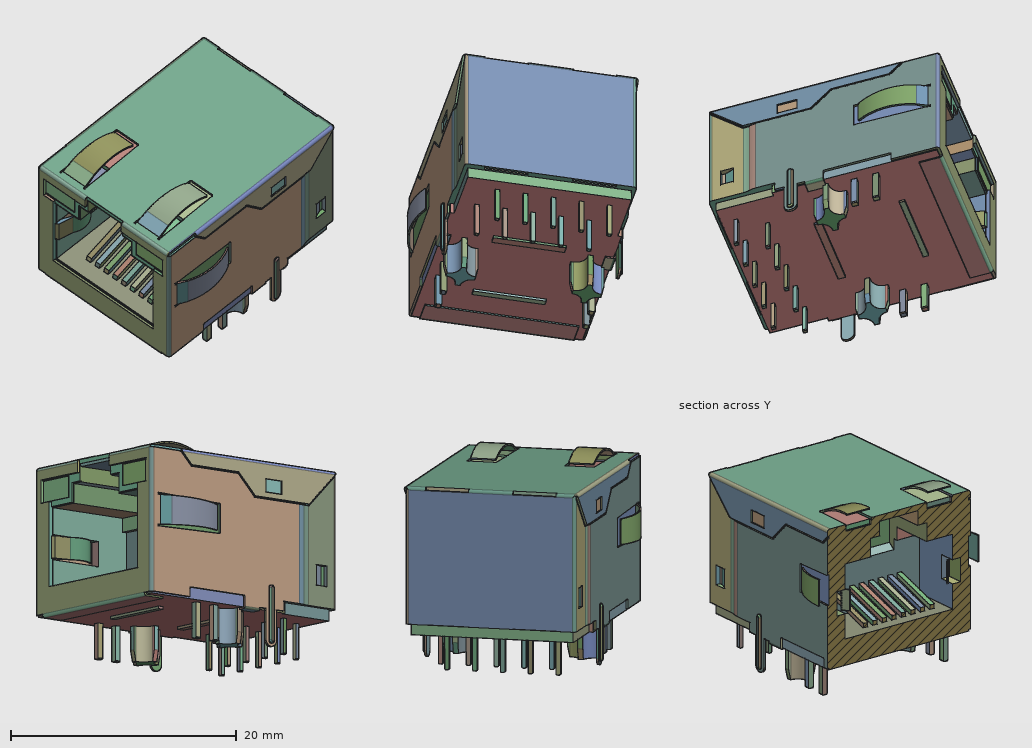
import cadquery as cq
import math


LENGTH = 21.6
HALF_WIDTH = 15.96 / 2
TOP = 13.41
SHEET = 0.2
SHELL_BOTTOM = 0.15
EDGE_RADIUS = 0.3
REAR_SKIRT_BOTTOM = 1.04
REAR_SKIRT_START = 15.35
REAR_SIDE_INSET = 0.17
OVERSHOOT = 0.22

HOUSING_HALF_WIDTH = HALF_WIDTH - SHEET
HOUSING_FRONT = 0.25
HOUSING_REAR = 21.04
HOUSING_JOIN = TOP / 2
HOUSING_FOOT_HALF_WIDTH = 7.43
HOUSING_FOOT_START = 15.65

CAVITY_HALF_WIDTH = 5.96
CAVITY_FLOOR = 2.55
CAVITY_CEILING = 9.63
CAVITY_DEPTH = 8.85
SHELF_HEIGHT = 8.38
SHELF_DEPTH = 8.42
LATCH_HALF_WIDTH = 3.1
LATCH_CEILING = 11.4
LATCH_DEPTH = 9.5
LATCH_RAMP_TOP = 7.86
LATCH_RAMP_BOTTOM = 7.37
NOTCH_HALF_WIDTH = 2.1
NOTCH_CEILING = 12.79
NOTCH_LIP = 13.02
FRAME_GAP = 0.09
MOUTH_DEPTH = 0.13

LIGHT_INNER = 3.72
LIGHT_OUTER = 7.2
LIGHT_BOTTOM = 10.15
LIGHT_TOP = 12.25
LIGHT_SETBACK = 0.06

SPRING_RISE = 0.97
SPRING_PEAK_Y = 4.45
SPRING_HINGE_Y = 1.04
TOP_SPRING_BEND_Y = 2.22
SIDE_SPRING_BEND_Y = 1.97
SPRING_TIP_Y = 7.52
SPRING_TIP_RISE = 0.2
SPRING_SHEET = 0.15
SPRING_DROP = SPRING_RISE - SPRING_TIP_RISE
SPRING_RADIUS = ((SPRING_TIP_Y - SPRING_PEAK_Y) ** 2 + SPRING_DROP**2) / (2 * SPRING_DROP)
SPRING_HINGE_WIDTH = 2.7
SPRING_TIP_WIDTH = 2.31
SLOT_FRONT_Y = 0.82
SLOT_REAR_Y = 8.01
SLOT_FRONT_WIDTH = 3.0
SLOT_REAR_WIDTH = 2.7
SLOT_CORNER = 0.13
TOP_SPRING_X = 4.5
SIDE_SPRING_Z = 7.6
VOID_REAR_Y = 4.21
VOID_DEPTH = 0.65

PIN_TIP = -3.22
PIN_PITCH = 1.27
PIN_COUNT = 10
PIN_ROWS = (19.7, 17.17)
PIN_SIZE = (0.4, 0.35)
LIGHT_PIN_X = 6.72
LIGHT_PIN_ROWS = (8.3, 6.29)
LIGHT_PIN_SIZE = 0.55
PIN_CHAMFER = 0.09


def box(x_range, y_range, z_range):
    """Axis-aligned block between the given limits."""
    size = [high - low for low, high in (x_range, y_range, z_range)]
    corner = (x_range[0], y_range[0], z_range[0])
    return cq.Workplane("XY").box(*size, centered=False).translate(corner)


def both_sides(solid):
    """The solid together with its mirror image across the YZ plane."""
    return solid.union(solid.mirror("YZ"))


def side_prism(points, x_low, x_high):
    """Prism along X with a (Y, Z) outline."""
    return cq.Workplane("YZ").polyline(points).close().extrude(x_high - x_low).translate((x_low, 0, 0))


def front_prism(points, y_low, y_high):
    """Prism along Y with an (X, Z) outline."""
    prism = cq.Workplane("XZ").polyline(points).close().extrude(y_low - y_high)
    return prism.translate((0, y_low, 0))


def mirrored_outline(right_half):
    """Closed outline from its right half, listed from the bottom up."""
    return right_half + [(-x, z) for x, z in reversed(right_half)]


def shell_block():
    shell = box((-HALF_WIDTH, HALF_WIDTH), (0, LENGTH), (SHELL_BOTTOM, TOP))
    shell = shell.edges("|Z").fillet(EDGE_RADIUS).faces(">Z").edges().fillet(EDGE_RADIUS)
    rear_relief = box(
        (-HALF_WIDTH, HALF_WIDTH), (REAR_SKIRT_START, LENGTH), (SHELL_BOTTOM, REAR_SKIRT_BOTTOM)
    )
    return shell.cut(rear_relief)


def housing_block():
    half, foot = HOUSING_HALF_WIDTH, HOUSING_FOOT_HALF_WIDTH
    front = box((-half, half), (HOUSING_FRONT, HOUSING_FOOT_START), (0, HOUSING_JOIN))
    rear = box((-foot, foot), (HOUSING_FOOT_START, HOUSING_REAR), (0, HOUSING_JOIN))
    return front.union(rear)


def side_reliefs():
    """Shallow cut-outs in the lower edges of the side walls."""
    start, end, corner = 4.5, 10.85, 0.15
    relief = box((HOUSING_HALF_WIDTH, HALF_WIDTH), (start, end), (0, REAR_SKIRT_BOTTOM))
    return both_sides(relief.edges("|X and >Z").fillet(corner))


FLAP_LOW = 10.13
FLAP_STEP = 12.05
FLAP_FRONT_Y = 3.59
SIDE_WALL_TOP = 13.15
FLAP_STEP_REAR_Y = 10.1
FLAP_REAR_Y = 18.34
FLAP_CORNER_Y = FLAP_REAR_Y + TOP - FLAP_LOW
FLAP_OUTLINE = [
    (FLAP_FRONT_Y, TOP + OVERSHOOT),
    (FLAP_FRONT_Y, SIDE_WALL_TOP),
    (FLAP_FRONT_Y + SIDE_WALL_TOP - FLAP_STEP, FLAP_STEP),
    (FLAP_STEP_REAR_Y, FLAP_STEP),
    (FLAP_STEP_REAR_Y + FLAP_STEP - FLAP_LOW, FLAP_LOW),
    (FLAP_REAR_Y, FLAP_LOW),
    (FLAP_CORNER_Y, TOP),
    (FLAP_CORNER_Y, TOP + OVERSHOOT),
]


def flap_seams():
    """Gap between each side flap and the side wall below it."""
    seam_width = 0.13
    flap = cq.Workplane("YZ").polyline(FLAP_OUTLINE).close()
    grown = flap.offset2D(seam_width, "intersection").extrude(SHEET)
    seam = grown.cut(side_prism(FLAP_OUTLINE, 0, SHEET))
    below_top = box((0, SHEET), (0, LENGTH), (0, SIDE_WALL_TOP))
    return both_sides(seam.intersect(below_top).translate((HALF_WIDTH - SHEET, 0, 0)))


def top_front_corners():
    """Ahead of the flaps the top plate ends short of the side walls."""
    return both_sides(box((HOUSING_HALF_WIDTH, HALF_WIDTH), (0, FLAP_FRONT_Y), (SIDE_WALL_TOP, TOP)))


def rear_side_insets():
    """The rear part of each side wall steps inward through an S-bend."""
    bend_start, bend_end, depth = 17.15, FLAP_REAR_Y, REAR_SIDE_INSET
    wall = HALF_WIDTH - depth
    outside = HALF_WIDTH + OVERSHOOT
    inset = (
        cq.Workplane("XY")
        .moveTo(outside, bend_start - OVERSHOOT)
        .lineTo(HALF_WIDTH, bend_start - OVERSHOOT)
        .lineTo(HALF_WIDTH, bend_start)
        .tangentArcPoint((HALF_WIDTH - depth / 2, (bend_start + bend_end) / 2), relative=False)
        .tangentArcPoint((wall, bend_end), relative=False)
        .lineTo(wall, LENGTH - EDGE_RADIUS)
        .tangentArcPoint((wall - EDGE_RADIUS, LENGTH), relative=False)
        .lineTo(wall - EDGE_RADIUS, LENGTH + OVERSHOOT)
        .lineTo(outside, LENGTH + OVERSHOOT)
        .close()
        .extrude(TOP)
    )
    return both_sides(inset.cut(side_prism(FLAP_OUTLINE, 0, outside)))


def side_windows():
    """Latch windows: a plain one in the flap and a ramped one in the rear wall."""
    depth, ramp_depth = 0.13, 0.43
    flap_y, flap_z = (13.28, 15.15), (10.63, 11.82)
    flap_window = box((HALF_WIDTH - depth, HALF_WIDTH), flap_y, flap_z)
    z_low, z_high = 2.98, 4.84
    y_front, y_ramp, y_rear = 19.29, 20.17, 20.5
    wall = HALF_WIDTH - REAR_SIDE_INSET
    ramp_window = (
        cq.Workplane("XY")
        .polyline([
            (wall + OVERSHOOT, y_front), (wall - depth, y_front), (wall - ramp_depth, y_ramp),
            (wall - ramp_depth, y_rear), (wall + OVERSHOOT, y_rear),
        ])
        .close()
        .extrude(z_high - z_low)
        .translate((0, 0, z_low))
    )
    return both_sides(flap_window.union(ramp_window))


def rear_top_slots():
    """Gaps between the rear plate and the housing, with the rear plate cut lower beside them."""
    inner, outer, front, drop = 2.03, 5.98, 21.23, 0.25
    slot = box((inner, outer), (front, LENGTH - SHEET), (0, TOP))
    edge = box((inner, outer), (front, LENGTH), (TOP - drop, TOP))
    return both_sides(slot.union(edge))


def shell_opening():
    """Hole in the front sheet, notched for the latch and widened for the lights."""
    side = CAVITY_HALF_WIDTH + FRAME_GAP
    notch = NOTCH_HALF_WIDTH + FRAME_GAP
    right_half = [
        (side, CAVITY_FLOOR - FRAME_GAP / 2),
        (side, LIGHT_BOTTOM),
        (LIGHT_OUTER, LIGHT_BOTTOM),
        (LIGHT_OUTER, LIGHT_TOP),
        (notch, LIGHT_TOP),
        (notch, TOP),
    ]
    return front_prism(mirrored_outline(right_half), 0, HOUSING_FRONT)


def light_faces():
    """The light faces sit slightly behind the housing face."""
    back = HOUSING_FRONT + LIGHT_SETBACK
    z_range = (LIGHT_BOTTOM + FRAME_GAP, LIGHT_TOP - FRAME_GAP)
    return both_sides(box((LIGHT_INNER, LIGHT_OUTER), (HOUSING_FRONT, back), z_range))


def plug_cavity():
    half = CAVITY_HALF_WIDTH
    lower = box((-half, half), (HOUSING_FRONT, CAVITY_DEPTH), (CAVITY_FLOOR, SHELF_HEIGHT))
    upper = box((-half, half), (HOUSING_FRONT, SHELF_DEPTH), (SHELF_HEIGHT, CAVITY_CEILING))
    latch = side_prism(
        [
            (HOUSING_FRONT, LATCH_RAMP_BOTTOM),
            (CAVITY_DEPTH, LATCH_RAMP_BOTTOM),
            (LATCH_DEPTH, LATCH_RAMP_TOP),
            (LATCH_DEPTH, LATCH_CEILING),
            (HOUSING_FRONT, LATCH_CEILING),
        ],
        -LATCH_HALF_WIDTH,
        LATCH_HALF_WIDTH,
    )
    notch = side_prism(
        [
            (0, LATCH_CEILING),
            (LATCH_DEPTH, LATCH_CEILING),
            (LATCH_DEPTH, NOTCH_CEILING),
            (HOUSING_FRONT + MOUTH_DEPTH, NOTCH_CEILING),
            (HOUSING_FRONT, NOTCH_LIP),
            (0, NOTCH_LIP),
        ],
        -NOTCH_HALF_WIDTH,
        NOTCH_HALF_WIDTH,
    )
    return lower.union(upper).union(latch).union(notch)


def cavity_mouth():
    """Shallow step that widens the rim of the cavity and of the latch channel."""
    right_half = [
        (CAVITY_HALF_WIDTH, CAVITY_FLOOR),
        (CAVITY_HALF_WIDTH, CAVITY_CEILING),
        (LATCH_HALF_WIDTH, CAVITY_CEILING),
        (LATCH_HALF_WIDTH, LATCH_CEILING),
    ]
    outline = cq.Workplane("XZ").polyline(mirrored_outline(right_half)).close()
    mouth = outline.offset2D(FRAME_GAP, "intersection").extrude(-MOUTH_DEPTH)
    return mouth.translate((0, HOUSING_FRONT, 0))


INNER_SPRING_Z = (5.08, 7.08)


def inner_spring_pockets():
    """Pockets in the cavity side walls behind the inner springs."""
    depth, start, end, clearance = 0.89, 0.43, 5.62, 0.13
    z_range = (INNER_SPRING_Z[0] - clearance, INNER_SPRING_Z[1] + clearance)
    return both_sides(box((CAVITY_HALF_WIDTH, CAVITY_HALF_WIDTH + depth), (start, end), z_range))


def inner_springs():
    """Shield springs folded in from the front sheet, bowed into the cavity and back into the pockets."""
    wall = CAVITY_HALF_WIDTH + FRAME_GAP
    fold = (5.77, 0.43)
    bend = (5.45, 1.95)
    crest = (5.12, 3.13)
    tip = (5.83, 4.65)
    spring = (
        cq.Workplane("XY")
        .moveTo(wall + SHEET, HOUSING_FRONT)
        .lineTo(wall, HOUSING_FRONT)
        .lineTo(*fold)
        .lineTo(*bend)
        .threePointArc(crest, tip)
        .lineTo(tip[0] + SPRING_SHEET, tip[1])
        .threePointArc((crest[0] + SPRING_SHEET, crest[1]), (bend[0] + SPRING_SHEET, bend[1]))
        .lineTo(wall + SHEET, fold[1] + SPRING_SHEET)
        .close()
        .extrude(INNER_SPRING_Z[1] - INNER_SPRING_Z[0])
        .translate((0, 0, INNER_SPRING_Z[0]))
    )
    return both_sides(spring)


def contacts():
    """Eight spring contacts rising from the floor to the back wall."""
    count, pitch, width, thickness = 8, 1.05, 0.52, 0.39
    tip_y, tip_slope, wall_rise = 2.05, 0.13, 2.2
    outline = [
        (tip_y, CAVITY_FLOOR),
        (tip_y + thickness, CAVITY_FLOOR),
        (CAVITY_DEPTH + OVERSHOOT, CAVITY_FLOOR + wall_rise),
        (CAVITY_DEPTH + OVERSHOOT, CAVITY_FLOOR + wall_rise + thickness),
        (tip_y + tip_slope, CAVITY_FLOOR + thickness),
    ]
    row = cq.Workplane("XY")
    for index in range(count):
        x = (index - (count - 1) / 2) * pitch
        row = row.union(side_prism(outline, x - width / 2, x + width / 2))
    return row


def tapered_plan(front_y, rear_y, front_width, rear_width, z_low, z_high):
    """Upright prism with a trapezoid plan and rounded rear corners."""
    plan = cq.Workplane("XY").polyline([
        (-front_width / 2, front_y), (front_width / 2, front_y),
        (rear_width / 2, rear_y), (-rear_width / 2, rear_y),
    ])
    prism = plan.close().extrude(z_high - z_low).translate((0, 0, z_low))
    return prism.edges("|Z and >Y").fillet(SLOT_CORNER)


def spring_slot():
    return tapered_plan(SLOT_FRONT_Y, SLOT_REAR_Y, SLOT_FRONT_WIDTH, SLOT_REAR_WIDTH, -SHEET, 0)


def spring_rise(y, inset=0):
    """Height of the bowed strip at y, or of the arc lying the given distance below it."""
    radius = SPRING_RADIUS - inset
    return SPRING_RISE - SPRING_RADIUS + math.sqrt(radius**2 - (y - SPRING_PEAK_Y) ** 2)


def spring_strip(bend_y):
    """Strip hinged at its front end, straight up to bend_y and bowed behind it."""
    sheet = SPRING_SHEET
    under_tip_y = SPRING_TIP_Y - sheet / 2
    bow = (
        cq.Workplane("YZ")
        .moveTo(SLOT_FRONT_Y, -SHEET)
        .lineTo(SLOT_FRONT_Y, 0)
        .lineTo(SPRING_HINGE_Y, 0)
        .lineTo(bend_y, spring_rise(bend_y))
        .threePointArc((SPRING_PEAK_Y, SPRING_RISE), (SPRING_TIP_Y, SPRING_TIP_RISE))
        .lineTo(under_tip_y, spring_rise(under_tip_y, sheet))
        .threePointArc((SPRING_PEAK_Y, SPRING_RISE - sheet), (bend_y, spring_rise(bend_y, sheet)))
        .lineTo(SPRING_HINGE_Y + sheet, -SHEET)
        .close()
        .extrude(SPRING_HINGE_WIDTH / 2, both=True)
    )
    plan = tapered_plan(
        SLOT_FRONT_Y, SPRING_TIP_Y, SPRING_HINGE_WIDTH, SPRING_TIP_WIDTH, -SHEET, SPRING_RISE + OVERSHOOT
    )
    return bow.intersect(plan)


def top_placed(solid):
    return both_sides(solid.translate((TOP_SPRING_X, 0, TOP)))


def side_placed(solid):
    upright = solid.rotate((0, 0, 0), (0, 1, 0), 90)
    return both_sides(upright.translate((HALF_WIDTH, 0, SIDE_SPRING_Z)))


def top_spring_voids():
    """Deeper hollow below the front part of each top slot."""
    half = SLOT_REAR_WIDTH / 2
    return top_placed(box((-half, half), (SPRING_HINGE_Y, VOID_REAR_Y), (-VOID_DEPTH, -SHEET)))


LIP_HALF_WIDTH = 7.0
LIP_DROP = 0.15


def front_lip():
    """Front sheet folded back under the housing."""
    depth = 2.2
    lip = box((-LIP_HALF_WIDTH, LIP_HALF_WIDTH), (0, depth), (-LIP_DROP, EDGE_RADIUS))
    return lip.edges("|X and <Y and <Z").fillet(EDGE_RADIUS)


def side_lips():
    """Short tabs of the side walls folded under the housing."""
    start, end = 10.85, 12.57
    lip = box((LIP_HALF_WIDTH, HALF_WIDTH), (start, end), (-LIP_DROP, SHELL_BOTTOM))
    return both_sides(lip.edges("|Y and >X and <Z").fillet(SHEET))


def standoffs():
    """Two low bars across the housing underside."""
    half_width, drop = 3.3, 0.24
    front_y, rear_y = (4.8, 5.31), (12.57, 13.26)
    front = box((-half_width, half_width), front_y, (-drop, 0))
    rear = box((-half_width, half_width), rear_y, (-drop, 0))
    return front.union(rear)


def pegs():
    """Fluted board pegs: a tapered round with four concave flutes that leave a cross."""
    x, y, radius, tip_radius = 5.72, 10.86, 1.53, 1.32
    taper_start, tip = -2.15, -3.18
    flute_radius, arm_half = 1.04, 0.24
    peg = cq.Workplane("XY").circle(radius).extrude(taper_start)
    taper = (
        cq.Workplane("XY").workplane(offset=taper_start).circle(radius)
        .workplane(offset=tip - taper_start).circle(tip_radius).loft()
    )
    flute_span = (arm_half, radius + OVERSHOOT)
    flute = box(flute_span, flute_span, (tip, 0))
    flute = flute.edges("|Z and <X and <Y").fillet(flute_radius)
    peg = peg.union(taper)
    for quarter in range(4):
        peg = peg.cut(flute.rotate((0, 0, 0), (0, 0, 1), quarter * 90))
    return both_sides(peg.translate((x, y, 0)))


def pin(x, y, width, depth):
    """Rectangular pin with a chamfered tip, rooted in the housing."""
    body = box((x - width / 2, x + width / 2), (y - depth / 2, y + depth / 2), (PIN_TIP, OVERSHOOT))
    return body.faces("<Z").edges("|Y").chamfer(PIN_CHAMFER)


def pins():
    group = cq.Workplane("XY")
    for index in range(PIN_COUNT):
        x = (index - (PIN_COUNT - 1) / 2) * PIN_PITCH
        group = group.union(pin(x, PIN_ROWS[index % 2], *PIN_SIZE))
    for y in LIGHT_PIN_ROWS:
        group = group.union(both_sides(pin(LIGHT_PIN_X, y, LIGHT_PIN_SIZE, LIGHT_PIN_SIZE)))
    return group


def upright_bar(y, width, z_low, z_high, thickness):
    """Bar in the YZ plane with round ends, extruded along +X from the origin."""
    return (
        cq.Workplane("YZ")
        .center(y, (z_low + z_high) / 2)
        .slot2D(z_high - z_low, width, 90)
        .extrude(thickness)
    )


def shield_pins():
    """Shell pins on both sides, each stiffened by an embossed rib."""
    y, width, rib_width, rib_height = 13.89, 1.2, 0.58, 0.24
    rib_low, rib_high, rib_bevel = -2.94, 2.31, 0.15
    tab = upright_bar(y, width, PIN_TIP, REAR_SKIRT_BOTTOM, SHEET).translate((HALF_WIDTH - SHEET, 0, 0))
    rib = upright_bar(y, rib_width, rib_low, rib_high, rib_height).faces(">X").edges().chamfer(rib_bevel)
    return both_sides(tab.union(rib.translate((HALF_WIDTH, 0, 0))))


body = shell_block().cut(side_reliefs()).union(housing_block())

for pocket in (
    flap_seams(),
    top_front_corners(),
    rear_side_insets(),
    side_windows(),
    rear_top_slots(),
    shell_opening(),
    light_faces(),
    plug_cavity(),
    cavity_mouth(),
    inner_spring_pockets(),
    top_placed(spring_slot()),
    side_placed(spring_slot()),
    top_spring_voids(),
):
    body = body.cut(pocket)

for addition in (
    top_placed(spring_strip(TOP_SPRING_BEND_Y)),
    side_placed(spring_strip(SIDE_SPRING_BEND_Y)),
    inner_springs(),
    contacts(),
    front_lip(),
    side_lips(),
    standoffs(),
    pegs(),
    pins(),
    shield_pins(),
):
    body = body.union(addition)

result = body